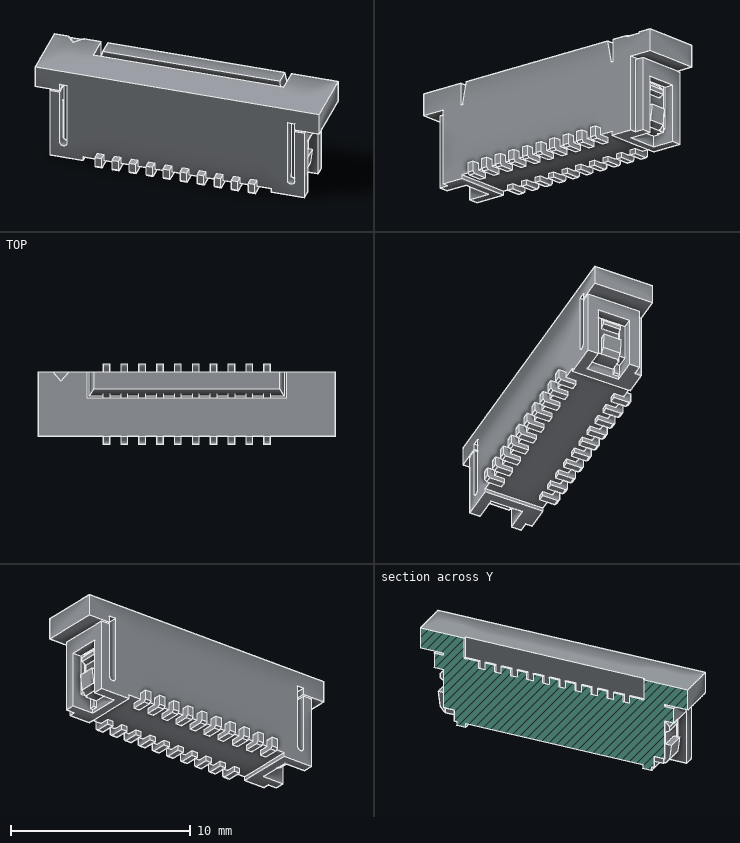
import cadquery as cq

LENGTH = 16.6
DEPTH = 3.6
TOP = 5.75
HEAD_BOTTOM = 4.45
HOUSING_HALF = 6.87
HOUSING_BOTTOM = 0.07

RELIEF_HALF = 5.5
RELIEF_TOP = 0.3

BRACKET_HALF = 7.44
BRACKET_TOP = 4.35
BRACKET_BACK = 3.2
WINDOW_FRONT = 0.65
WINDOW_BACK = 2.59
WINDOW_TOP = 3.4

SLOT_WIDTH = 0.43
SLOT_TOP = 4.85
SLOT_BOTTOM = 0.83

ARM_FRONT = 0.78
ARM_BACK = 2.17
ARM_BOTTOM = 0.7
GROOVE_BACK_WALL = 2.25
GROOVE_DEPTH = 0.1
GROOVE_WALL_BOTTOM = 1.0
WALL_RECESS_DEPTH = 0.66
ARM_RECESS_DEPTH = 0.83

CATCH_FRONT = 1.11
UPPER_CATCH_REACH = 0.25
UPPER_CATCH_LEVELS = (3.32, 3.05, 2.8, 2.64)
LOWER_CATCH_REACH = 0.37
LOWER_CATCH_HEEL_REACH = 0.25
LOWER_CATCH_TOP = 1.91
LOWER_CATCH_HEEL = 1.0

OPENING_HALF = 5.56
OPENING_DEPTH = 1.46
TONGUE_HALF = 5.18
TONGUE_DEPTH = 0.95
TONGUE_SIDE_FLARE = 0.27
TONGUE_FRONT_FLARE = 0.4

MARK_X = -7.02
MARK_HALF = 0.45
MARK_LENGTH = 0.51
MARK_DEPTH = 0.07

PIN_COUNT = 10
PIN_PITCH = 1.0
PIN_WIDTH = 0.38
PIN_HEIGHT = 0.7
PIN_OVERHANG = 0.45
PIN_INSIDE = 0.61
PIN_CHAMFER = 0.13
CONTACT_SLOT_REACH = 0.25
CONTACT_SLOT_TOP = HEAD_BOTTOM + 0.5
CONTACT_SLOT_BOTTOM = HEAD_BOTTOM - 1.33


def block(x0, x1, y0, y1, z0, z1):
    return cq.Workplane("XY").box(x1 - x0, y1 - y0, z1 - z0, centered=False).translate((x0, y0, z0))


def both_ends(shape):
    return shape.union(shape.mirror("YZ"))


def make_shell():
    head = block(-LENGTH / 2, LENGTH / 2, 0, DEPTH, HEAD_BOTTOM, TOP)
    housing = block(-HOUSING_HALF, HOUSING_HALF, 0, DEPTH, HOUSING_BOTTOM, HEAD_BOTTOM)
    relief = block(-RELIEF_HALF, RELIEF_HALF, 0, DEPTH, HOUSING_BOTTOM, RELIEF_TOP)
    return head.union(housing).cut(relief)


def make_bracket():
    """Inverted U at the -X end."""
    plate = block(-BRACKET_HALF, -HOUSING_HALF, 0, BRACKET_BACK, HOUSING_BOTTOM, BRACKET_TOP)
    window = block(-BRACKET_HALF, -HOUSING_HALF, WINDOW_FRONT, WINDOW_BACK, HOUSING_BOTTOM, WINDOW_TOP)
    return plate.cut(window)


def make_front_slot():
    """Slot cutter at the -X end, as deep as the front leg of the bracket."""
    radius = SLOT_WIDTH / 2
    left = -HOUSING_HALF
    right = left + SLOT_WIDTH
    return (
        cq.Workplane("XZ")
        .moveTo(left, SLOT_TOP)
        .lineTo(left, SLOT_BOTTOM + radius)
        .threePointArc((left + radius, SLOT_BOTTOM), (right, SLOT_BOTTOM + radius))
        .lineTo(right, SLOT_TOP)
        .close()
        .extrude(-WINDOW_FRONT)
    )


def make_grooves():
    """Clearance around the latch arm at the -X end and the deeper recesses below it."""
    face = -HOUSING_HALF
    slot_wall = face + SLOT_WIDTH
    groove_floor = face + GROOVE_DEPTH
    wall_recess = face + WALL_RECESS_DEPTH
    arm_recess = face + ARM_RECESS_DEPTH
    front = block(face, slot_wall, WINDOW_FRONT, ARM_FRONT, HOUSING_BOTTOM, SLOT_TOP)
    back = block(face, groove_floor, ARM_BACK, GROOVE_BACK_WALL, ARM_BOTTOM, HEAD_BOTTOM)
    below_arm = block(face, arm_recess, WINDOW_FRONT, GROOVE_BACK_WALL, HOUSING_BOTTOM, ARM_BOTTOM)
    beside_arm = block(face, wall_recess, GROOVE_BACK_WALL, WINDOW_BACK, RELIEF_TOP, GROOVE_WALL_BOTTOM)
    below_wall = block(face, arm_recess, GROOVE_BACK_WALL, WINDOW_BACK, HOUSING_BOTTOM, RELIEF_TOP)
    return front.union(back).union(below_arm).union(beside_arm).union(below_wall)


def make_catches():
    """Two catches on the latch arm at the -X end."""
    root = -HOUSING_HALF + GROOVE_DEPTH
    face = -HOUSING_HALF
    top, nose_top, nose_bottom, bottom = UPPER_CATCH_LEVELS
    upper = [
        (root, top),
        (face, top),
        (face - UPPER_CATCH_REACH, nose_top),
        (face - UPPER_CATCH_REACH, nose_bottom),
        (face, bottom),
        (root, bottom),
    ]
    lower = [
        (root, LOWER_CATCH_TOP),
        (face - LOWER_CATCH_REACH, LOWER_CATCH_TOP),
        (face - LOWER_CATCH_HEEL_REACH, LOWER_CATCH_HEEL),
        (face, ARM_BOTTOM),
        (root, ARM_BOTTOM),
    ]
    plane = cq.Workplane("XZ", origin=(0, CATCH_FRONT, 0))
    width = ARM_BACK - CATCH_FRONT
    return plane.polyline(upper).close().extrude(-width).union(plane.polyline(lower).close().extrude(-width))


def make_opening():
    """Opening cutter, as deep as the head and open at the back."""
    return block(-OPENING_HALF, OPENING_HALF, DEPTH - OPENING_DEPTH, DEPTH, HEAD_BOTTOM, TOP)


def make_tongue():
    """Tongue whose sides and front flare out towards the floor of the opening."""
    foot_width = 2 * (TONGUE_HALF + TONGUE_SIDE_FLARE)
    foot_depth = TONGUE_DEPTH + TONGUE_FRONT_FLARE
    return (
        cq.Workplane("XY", origin=(0, 0, HEAD_BOTTOM))
        .center(0, DEPTH - foot_depth / 2)
        .rect(foot_width, foot_depth)
        .workplane(offset=TOP - HEAD_BOTTOM)
        .center(0, (foot_depth - TONGUE_DEPTH) / 2)
        .rect(2 * TONGUE_HALF, TONGUE_DEPTH)
        .loft(ruled=True)
    )


def make_mark():
    """Shallow triangular cutter on the top face."""
    return (
        cq.Workplane("XY", origin=(MARK_X, DEPTH, TOP))
        .polyline([(-MARK_HALF, 0), (MARK_HALF, 0), (0, -MARK_LENGTH)])
        .close()
        .extrude(-MARK_DEPTH)
    )


def make_pin(x):
    """Front and back feet of the pin centred on x."""
    x0 = x - PIN_WIDTH / 2
    x1 = x + PIN_WIDTH / 2
    front = block(x0, x1, -PIN_OVERHANG, PIN_INSIDE, 0, PIN_HEIGHT)
    front = front.faces("<Y").edges("<Z").chamfer(PIN_CHAMFER)
    back = block(x0, x1, DEPTH - PIN_INSIDE, DEPTH + PIN_OVERHANG, 0, PIN_HEIGHT)
    back = back.faces(">Y").edges("<Z").chamfer(PIN_CHAMFER)
    return front.union(back)


def make_contact_slot(x):
    """Wedge cutter centred on x that narrows downwards along the front wall of the opening."""
    wall = DEPTH - OPENING_DEPTH
    outline = [
        (wall, CONTACT_SLOT_TOP),
        (wall + CONTACT_SLOT_REACH, CONTACT_SLOT_TOP),
        (wall, CONTACT_SLOT_BOTTOM),
    ]
    return cq.Workplane("YZ", origin=(x - PIN_WIDTH / 2, 0, 0)).polyline(outline).close().extrude(PIN_WIDTH)


result = make_shell().union(both_ends(make_bracket()))
result = result.cut(both_ends(make_front_slot())).cut(both_ends(make_grooves()))
result = result.union(both_ends(make_catches()))
result = result.cut(make_opening()).union(make_tongue()).cut(make_mark())
for i in range(PIN_COUNT):
    pin_x = (i - (PIN_COUNT - 1) / 2) * PIN_PITCH
    result = result.union(make_pin(pin_x)).cut(make_contact_slot(pin_x))